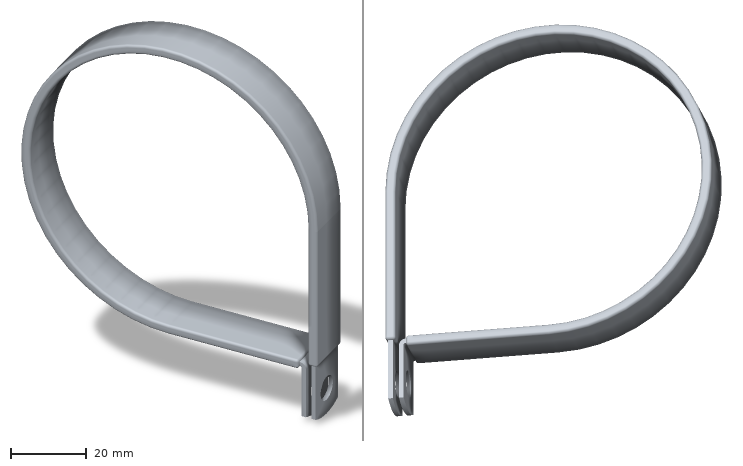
import cadquery as cq
import math

outer_radius = 44.08
cushion_wall = 0.7
strip_thickness = 1.3
cushion_width = 14.3
total_height = 104.3
tab_gap = 1.7
bend_inner_radius = 0.5
cushion_end_z = -42.1
cushion_end_x = 38.5
hole_radius = 3.5
hole_z = -52.4
tab_tip_drop = 1.5

strip_width = cushion_width - 2 * cushion_wall
cushion_thickness = strip_thickness + 2 * cushion_wall
strip_outer_radius = outer_radius - cushion_wall
strip_inner_radius = strip_outer_radius - strip_thickness
bend_outer_radius = bend_inner_radius + strip_thickness
tab_tip_z = outer_radius - total_height
tab_shoulder_z = tab_tip_z + tab_tip_drop
near_tab_outer_x = strip_inner_radius - tab_gap
near_tab_inner_x = near_tab_outer_x - strip_thickness
bend_x = near_tab_inner_x - bend_inner_radius
bend_z = -strip_outer_radius - bend_inner_radius


def band(inner_radius, outer_radius, end_x, end_z, width):
    """Three-quarter ring with a straight leg going down and another going along +X."""
    diagonal = math.sqrt(0.5)
    return (
        cq.Workplane("XZ")
        .moveTo(outer_radius, end_z)
        .lineTo(outer_radius, 0)
        .threePointArc((-outer_radius * diagonal, outer_radius * diagonal), (0, -outer_radius))
        .lineTo(end_x, -outer_radius)
        .lineTo(end_x, -inner_radius)
        .lineTo(0, -inner_radius)
        .threePointArc((-inner_radius * diagonal, inner_radius * diagonal), (inner_radius, 0))
        .lineTo(inner_radius, end_z)
        .close()
        .extrude(width / 2, both=True)
    )


def cushion():
    """Soft liner around the strip, rounded along its length and at both ends."""
    inner_radius = outer_radius - cushion_thickness
    blank = band(inner_radius, outer_radius, cushion_end_x, cushion_end_z, cushion_width)
    return blank.edges().fillet(cushion_wall)


def metal_strip():
    """Strip whose lower leg bends down into a tab beside the tab of the vertical leg."""
    strip = band(strip_inner_radius, strip_outer_radius, bend_x, tab_tip_z, strip_width)
    bent_tab = (
        cq.Workplane("XZ")
        .moveTo(bend_x, -strip_inner_radius)
        .radiusArc((near_tab_outer_x, bend_z), bend_outer_radius)
        .lineTo(near_tab_outer_x, tab_tip_z)
        .lineTo(near_tab_inner_x, tab_tip_z)
        .lineTo(near_tab_inner_x, bend_z)
        .radiusArc((bend_x, -strip_outer_radius), -bend_inner_radius)
        .close()
        .extrude(strip_width / 2, both=True)
    )
    return strip.union(bent_tab)


def tab_end_waste():
    """Material outside the curved lower edge shared by both tabs."""
    half_width = strip_width / 2
    return (
        cq.Workplane("YZ")
        .moveTo(-half_width, tab_shoulder_z)
        .threePointArc((0, tab_tip_z), (half_width, tab_shoulder_z))
        .lineTo(half_width, tab_tip_z)
        .lineTo(-half_width, tab_tip_z)
        .close()
        .extrude(outer_radius)
    )


def tab_hole():
    """Screw hole through both tabs."""
    return cq.Workplane("YZ").center(0, hole_z).circle(hole_radius).extrude(outer_radius)


result = metal_strip().cut(tab_end_waste()).cut(tab_hole()).union(cushion())